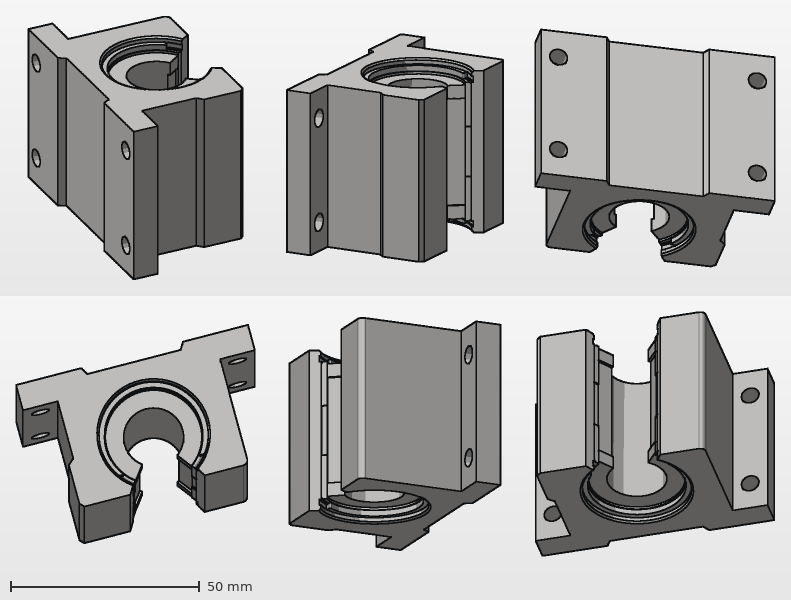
import cadquery as cq
import math

LENGTH = 44.45
WIDTH = 63.5
HEIGHT = 36.5
FLANGE_HEIGHT = 7.1
BODY_HALF_WIDTH = 22.2
PAD_HALF_WIDTH = 23.8
PAD_START_Y = 23.05
TOP_CHAMFER = 1.1
TOP_FILLET = 1.5

RELIEF_DEPTH = 2.0
RELIEF_HALF_WIDTH = 12.75
RELIEF_SLOPE = 1.15

AXIS_Y = 22.2
THROAT_HALF_WIDTH = 10.15
THROAT_ANGLE = 30.0

SCREW_DIAMETER = 4.75
SCREW_X = 27.0
SCREW_SPACING_Z = 28.6

SLEEVE_RADIUS = 14.35
SLEEVE_INSET = 3.2
SLEEVE_FILLET = 0.75
OPENING_HALF_ANGLE = 37.0
SLEEVE_END_LENGTH = 12.2
SLEEVE_SETBACK = 0.4

CAGE_RADIUS = 12.75
CAGE_BORE_RADIUS = 7.95
CAGE_INSET = 3.9
CAGE_COLLAR_LENGTH = 3.7
CAGE_SETBACK = 0.7

RING_RADIUS = 14.85
RING_INNER_RADIUS = 13.0
RING_THICKNESS = 1.6
RING_END_RISE = 8.25
RING_CORNER_FILLET = 0.3
MOUTH_RADIUS = 14.5
MOUTH_CHAMFER = 0.5

RING_INSET = SLEEVE_INSET - RING_THICKNESS


def disc(radius, z_start, z_end):
    """Cylinder about the bearing axis."""
    return cq.Workplane("XY", origin=(0, AXIS_Y, z_start)).circle(radius).extrude(z_end - z_start)


def opening(setback, z_start, z_end):
    """Wedge along the bearing axis; its walls are radial planes moved outward by the setback."""
    half_angle = math.radians(OPENING_HALF_ANGLE)
    apex_drop = setback / math.sin(half_angle)
    reach = HEIGHT
    spread = reach * math.tan(half_angle)
    return (
        cq.Workplane("XY", origin=(0, AXIS_Y - apex_drop, z_start))
        .polyline([(0, 0), (spread, reach), (-spread, reach)])
        .close()
        .extrude(z_end - z_start)
    )


def housing_block():
    pad_rise = PAD_HALF_WIDTH - BODY_HALF_WIDTH
    relief_foot = RELIEF_HALF_WIDTH + RELIEF_SLOPE
    outline = [
        (-WIDTH / 2, 0),
        (-relief_foot, 0),
        (-RELIEF_HALF_WIDTH, RELIEF_DEPTH),
        (RELIEF_HALF_WIDTH, RELIEF_DEPTH),
        (relief_foot, 0),
        (WIDTH / 2, 0),
        (WIDTH / 2, FLANGE_HEIGHT),
        (BODY_HALF_WIDTH, FLANGE_HEIGHT),
        (BODY_HALF_WIDTH, PAD_START_Y),
        (PAD_HALF_WIDTH, PAD_START_Y + pad_rise),
        (PAD_HALF_WIDTH, HEIGHT - TOP_CHAMFER),
        (PAD_HALF_WIDTH - TOP_CHAMFER, HEIGHT),
        (-BODY_HALF_WIDTH, HEIGHT),
        (-BODY_HALF_WIDTH, FLANGE_HEIGHT),
        (-WIDTH / 2, FLANGE_HEIGHT),
    ]
    block = cq.Workplane("XY").polyline(outline).close().extrude(LENGTH)
    top_left_edge = cq.selectors.NearestToPointSelector((-BODY_HALF_WIDTH, HEIGHT, LENGTH / 2))
    return block.edges(top_left_edge).fillet(TOP_FILLET)


def throat():
    """Tapered slot from the top face down to the bearing axis."""
    depth = HEIGHT - AXIS_Y
    floor_half_width = THROAT_HALF_WIDTH - depth * math.tan(math.radians(THROAT_ANGLE))
    corners = [
        (-floor_half_width, AXIS_Y),
        (floor_half_width, AXIS_Y),
        (THROAT_HALF_WIDTH, HEIGHT),
        (-THROAT_HALF_WIDTH, HEIGHT),
    ]
    return cq.Workplane("XY").polyline(corners).close().extrude(LENGTH)


def bore_cavity():
    """Stepped bore: chamfered mouths, snap ring grooves and sleeve seat."""
    lower_half = [
        (0, 0),
        (MOUTH_RADIUS + MOUTH_CHAMFER, 0),
        (MOUTH_RADIUS, MOUTH_CHAMFER),
        (MOUTH_RADIUS, RING_INSET),
        (RING_RADIUS, RING_INSET),
        (RING_RADIUS, SLEEVE_INSET),
        (SLEEVE_RADIUS, SLEEVE_INSET),
    ]
    upper_half = [(radius, LENGTH - z) for radius, z in reversed(lower_half)]
    profile = cq.Workplane("XZ").polyline(lower_half + upper_half).close()
    return profile.revolve(360, (0, 0, 0), (0, 1, 0)).translate((0, AXIS_Y, 0))


def screw_holes():
    return (
        cq.Workplane("XZ", origin=(0, 0, LENGTH / 2))
        .rarray(2 * SCREW_X, SCREW_SPACING_Z, 2, 2)
        .circle(SCREW_DIAMETER / 2)
        .extrude(-FLANGE_HEIGHT)
    )


def make_housing():
    return housing_block().cut(throat()).cut(bore_cavity()).cut(screw_holes())


def make_sleeve():
    z_start = SLEEVE_INSET
    z_end = LENGTH - SLEEVE_INSET
    tube = disc(SLEEVE_RADIUS, z_start, z_end).edges().fillet(SLEEVE_FILLET)
    tube = tube.cut(disc(CAGE_RADIUS, z_start, z_end))
    tube = tube.cut(opening(0, z_start, z_end))
    return tube.cut(opening(SLEEVE_SETBACK, z_start + SLEEVE_END_LENGTH, z_end - SLEEVE_END_LENGTH))


def make_cage():
    z_start = CAGE_INSET
    z_end = LENGTH - CAGE_INSET
    tube = disc(CAGE_RADIUS, z_start, z_end).cut(disc(CAGE_BORE_RADIUS, z_start, z_end))
    tube = tube.cut(opening(0, z_start, z_end))
    return tube.cut(opening(CAGE_SETBACK, z_start + CAGE_COLLAR_LENGTH, z_end - CAGE_COLLAR_LENGTH))


def make_snap_ring(z_start):
    """Snap ring with its open ends cut level and their inner corners rounded."""
    z_end = z_start + RING_THICKNESS
    ring = disc(RING_RADIUS, z_start, z_end).cut(disc(RING_INNER_RADIUS, z_start, z_end))
    gap = (
        cq.Workplane("XY", origin=(0, AXIS_Y + RING_END_RISE, z_start))
        .rect(2 * RING_RADIUS, 2 * RING_RADIUS)
        .extrude(RING_THICKNESS)
        .translate((0, RING_RADIUS, 0))
    )
    inner_half_gap = math.sqrt(RING_INNER_RADIUS**2 - RING_END_RISE**2)
    inner_corners = cq.selectors.BoxSelector(
        (-inner_half_gap - RING_CORNER_FILLET, AXIS_Y, z_start),
        (inner_half_gap + RING_CORNER_FILLET, HEIGHT, z_end),
    )
    return ring.cut(gap).edges("|Z").edges(inner_corners).fillet(RING_CORNER_FILLET)


housing = make_housing()
sleeve = make_sleeve()
cage = make_cage()
snap_rings = [make_snap_ring(z) for z in (RING_INSET, LENGTH - SLEEVE_INSET)]

result = cq.Compound.makeCompound(
    [housing.val(), sleeve.val(), cage.val()] + [ring.val() for ring in snap_rings]
)